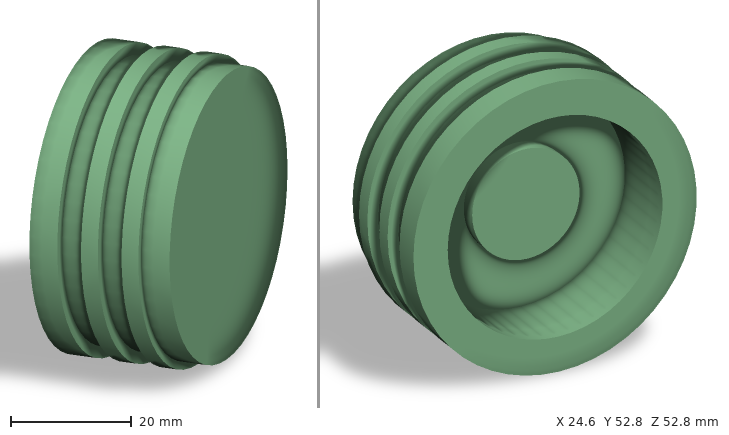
import cadquery as cq

outer_diameter = 52.8
groove_diameter = 48.7
tail_diameter = 50.0
bore_diameter = 40.0
boss_diameter = 20.0

end_width = 5.0
groove_width = 4.3
land_width = 3.0
total_length = 24.6
bore_depth = 13.5
boss_height = 3.0


def disc(start, length, diameter):
    """Solid cylinder along +X beginning at the given X position."""
    return cq.Workplane("YZ").workplane(offset=start).circle(diameter / 2).extrude(length)


first_land_start = end_width + groove_width
second_land_start = first_land_start + land_width + groove_width
tail_start = second_land_start + land_width

body = disc(0, total_length, groove_diameter)
body = body.union(disc(0, end_width, outer_diameter))
for land_start in (first_land_start, second_land_start):
    body = body.union(disc(land_start, land_width, outer_diameter))
body = body.union(disc(tail_start, total_length - tail_start, tail_diameter))

bore = disc(0, bore_depth, bore_diameter)
boss = disc(bore_depth - boss_height, boss_height, boss_diameter)

result = body.cut(bore).union(boss)